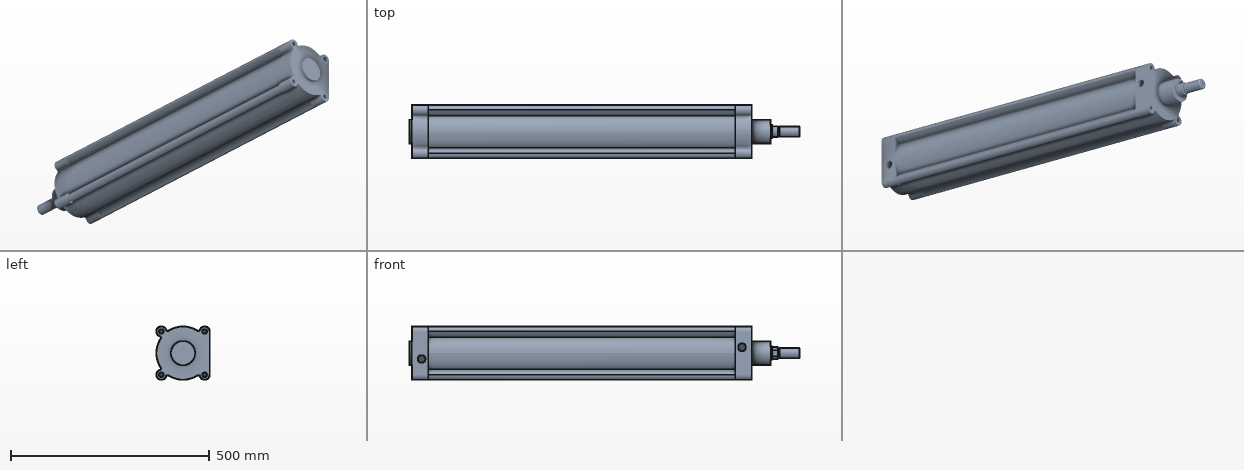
import math

import cadquery as cq

overall_length = 985.0
section_size = 135.0
half_section = section_size / 2

screw_spacing = 109.0
screw_offset = screw_spacing / 2
ear_radius = half_section - screw_offset
ear_fillet = 4.0
screw_hole_diameter = 12.0
screw_hole_depth = 20.0

cap_length = 41.0
boss_radius = 31.0
rear_boss_length = 7.0
nose_length = 47.0
port_radius = 10.0
port_depth = 20.0
port_from_barrel = 17.0
port_height = 15.0

cap_crest_height = 0.1
cap_crest_half_width = 4.4
barrel_crest_height = 0.4
cap_round_radius = half_section - cap_crest_height
barrel_round_radius = half_section - barrel_crest_height

barrel_length = 774.0

collar_radius = 17.0
collar_length = 4.0
rod_radius = 16.0
flat_length = 14.0
across_flats = 28.0
neck_diameter = 25.0
neck_length = 4.0
thread_diameter = 27.0
thread_chamfer = 2.0

rear_cap_start = rear_boss_length
barrel_start = rear_cap_start + cap_length
front_cap_start = barrel_start + barrel_length
nose_start = front_cap_start + cap_length
rod_start = nose_start + nose_length
flats_start = rod_start + collar_length
flats_end = flats_start + flat_length
thread_start = flats_end + neck_length

CORNERS = [(y, z) for y in (-1, 1) for z in (-1, 1)]


def section_at(x):
    """Workplane across the axis, whose local axes are Y and Z."""
    return cq.Workplane("YZ", origin=(x, 0, 0))


def crest(start, length, round_radius, crest_half_width, turn):
    """Crest along +Z, turned about X: a flat, or a ridge of no width, with tangent sides."""
    corner_distance = math.hypot(crest_half_width, half_section)
    corner_angle = math.atan2(crest_half_width, half_section)
    tangent_angle = corner_angle + math.acos(round_radius / corner_distance)
    foot_y = round_radius * math.sin(tangent_angle)
    foot_z = round_radius * math.cos(tangent_angle)
    outline = section_at(start).lineTo(foot_y, foot_z).lineTo(crest_half_width, half_section)
    if crest_half_width > 0:
        outline = outline.lineTo(-crest_half_width, half_section)
    body = outline.lineTo(-foot_y, foot_z).close().extrude(length)
    return body.rotate((0, 0, 0), (1, 0, 0), turn)


def barrel_ear(side_y, side_z):
    """Ear with a rounded tip and straight sides parallel to its diagonal."""
    bow = screw_offset + ear_radius / math.sqrt(2)
    root = half_section - screw_offset
    return (
        section_at(barrel_start)
        .moveTo(0, root * side_z)
        .lineTo(screw_offset * side_y, half_section * side_z)
        .threePointArc((bow * side_y, bow * side_z), (half_section * side_y, screw_offset * side_z))
        .lineTo(root * side_y, 0)
        .close()
        .extrude(barrel_length)
    )


def make_barrel():
    barrel = section_at(barrel_start).circle(barrel_round_radius).extrude(barrel_length)
    for turn in (0, 90, 180, 270):
        barrel = barrel.union(crest(barrel_start, barrel_length, barrel_round_radius, 0, turn))
    for side_y, side_z in CORNERS:
        barrel = barrel.union(barrel_ear(side_y, side_z))
    return barrel


def ear_fillet_points():
    """Points on the fillet between the round body and the ear: on the body, midway, on the ear."""
    ear_distance = screw_offset * math.sqrt(2)
    to_body = cap_round_radius + ear_fillet
    to_ear = ear_radius + ear_fillet
    along = (ear_distance**2 + to_body**2 - to_ear**2) / (2 * ear_distance)
    across = math.sqrt(to_body**2 - along**2)
    centre_y = (along - across) / math.sqrt(2)
    centre_z = (along + across) / math.sqrt(2)
    on_body = (centre_y * cap_round_radius / to_body, centre_z * cap_round_radius / to_body)
    on_ear = (
        screw_offset + (centre_y - screw_offset) * ear_radius / to_ear,
        screw_offset + (centre_z - screw_offset) * ear_radius / to_ear,
    )
    chord_y = (on_body[0] + on_ear[0]) / 2 - centre_y
    chord_z = (on_body[1] + on_ear[1]) / 2 - centre_z
    reach = ear_fillet / math.hypot(chord_y, chord_z)
    middle = (centre_y + chord_y * reach, centre_z + chord_z * reach)
    return on_body, middle, on_ear


def cap_ear(start, side_y, side_z):
    """Round ear blended into the round body by a fillet on each side."""
    on_body, middle, on_ear = ear_fillet_points()
    bow = screw_offset + ear_radius / math.sqrt(2)

    def place(point):
        return point[0] * side_y, point[1] * side_z

    def mirrored(point):
        return point[1] * side_y, point[0] * side_z

    return (
        section_at(start)
        .lineTo(*place(on_body))
        .threePointArc(place(middle), place(on_ear))
        .threePointArc((bow * side_y, bow * side_z), mirrored(on_ear))
        .threePointArc(mirrored(middle), mirrored(on_body))
        .close()
        .extrude(cap_length)
    )


def make_cap(start, outer_face, inward, port_x, port_z):
    cap = section_at(start).circle(cap_round_radius).extrude(cap_length)
    for turn in (0, 180, 270):
        cap = cap.union(crest(start, cap_length, cap_round_radius, cap_crest_half_width, turn))
    for side_y, side_z in CORNERS:
        cap = cap.union(cap_ear(start, side_y, side_z))

    port_side = (
        section_at(start)
        .center(-half_section / 2, 0)
        .rect(half_section, screw_spacing)
        .extrude(cap_length)
    )
    cap = cap.union(port_side)

    screw_holes = (
        section_at(outer_face)
        .rect(screw_spacing, screw_spacing, forConstruction=True)
        .vertices()
        .circle(screw_hole_diameter / 2)
        .extrude(inward * screw_hole_depth)
    )
    cap = cap.cut(screw_holes)

    port = (
        cq.Workplane("XZ", origin=(port_x, -half_section, port_z))
        .circle(port_radius)
        .extrude(-port_depth)
    )
    return cap.cut(port)


def make_rear_cap():
    cap = make_cap(rear_cap_start, rear_cap_start, 1, barrel_start - port_from_barrel, -port_height)
    boss = section_at(0).circle(boss_radius).extrude(rear_boss_length)
    return cap.union(boss)


def make_front_cap():
    cap = make_cap(front_cap_start, nose_start, -1, front_cap_start + port_from_barrel, port_height)
    nose = section_at(nose_start).circle(boss_radius).extrude(nose_length)
    return cap.union(nose)


def make_rod():
    collar = section_at(rod_start).circle(collar_radius).extrude(collar_length)

    shoulder = (
        section_at(flats_start)
        .rect(across_flats, 2 * rod_radius)
        .extrude(flat_length)
        .intersect(section_at(flats_start).circle(rod_radius).extrude(flat_length))
    )

    neck = section_at(flats_end).circle(neck_diameter / 2).extrude(neck_length)
    thread = (
        section_at(thread_start)
        .circle(thread_diameter / 2)
        .extrude(overall_length - thread_start)
        .faces("<X or >X")
        .chamfer(thread_chamfer)
    )
    return collar.union(shoulder).union(neck).union(thread)


rear_cap = make_rear_cap()
barrel = make_barrel()
front_cap = make_front_cap()
rod = make_rod()

result = cq.Compound.makeCompound([rear_cap.val(), barrel.val(), front_cap.val(), rod.val()])